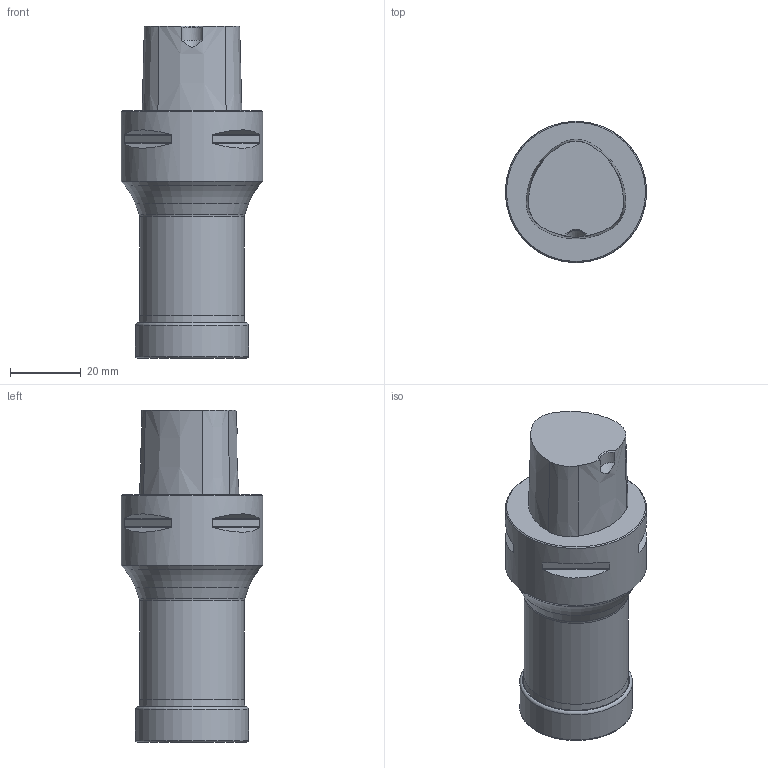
import cadquery as cq
import math

SHANK_TOP = 24.0
FLANGE_BOTTOM = -20.0
NECK_TOP = -30.0
FLARE_TOP = -58.0
NUT_TOP = -60.0
NUT_BOTTOM = -70.0

LOBE_REACH = 14.9
LOBE_CENTER = 6.0
SHANK_TAPER = 1 / 40
LOBE_COUNT = 3

NOTCH_RADIUS = 3.3
NOTCH_Y = -14.15
NOTCH_CHAMFER = 0.3
NOTCH_DEPTH = 4.0
NOTCH_POINT_ANGLE = 45.0

FLANGE_RADIUS = 20.0
FLANGE_CHAMFER = 0.3
GROOVE_Z = -8.0
GROOVE_FLOOR_DISTANCE = 17.6
GROOVE_FLOOR_WIDTH = 2.4
GROOVE_SIDE_ANGLE = 30.0
GROOVE_ROUND = 0.35
GROOVE_OVERCUT = 1.0
GROOVE_COUNT = 4

NECK_RADIUS = 14.8
UPPER_CONE_ANGLE = 40.0
LOWER_CONE_ANGLE = 20.0
CONE_ROUND = 17.0
NECK_ROUND = 2.0
FLARE_RADIUS = 14.9

NUT_RADIUS = 16.0
NUT_TOP_ROUND = 0.8
NUT_BOTTOM_ROUND = 0.5


def polar(radius, degrees, center=(0.0, 0.0)):
    angle = math.radians(degrees)
    return (center[0] + radius * math.cos(angle), center[1] + radius * math.sin(angle))


def shank():
    """Tapered three-lobed polygon, each lobe arc followed by a flank arc."""
    lobe_radius = LOBE_REACH - LOBE_CENTER
    flank_radius = lobe_radius + LOBE_CENTER * math.sqrt(3)
    step = 360 / LOBE_COUNT
    half_span = step / 4
    start = polar(lobe_radius, 90 - half_span, (0, LOBE_CENTER))
    outline = cq.Workplane("XY").moveTo(*start)
    for index in range(LOBE_COUNT):
        lobe_angle = 90 + index * step
        flank_angle = lobe_angle + step / 2
        lobe_center = polar(LOBE_CENTER, lobe_angle)
        flank_center = polar(LOBE_CENTER, flank_angle + 180)
        outline = outline.threePointArc(
            polar(lobe_radius, lobe_angle, lobe_center),
            polar(lobe_radius, lobe_angle + half_span, lobe_center),
        )
        outline = outline.threePointArc(
            polar(flank_radius, flank_angle, flank_center),
            polar(flank_radius, flank_angle + half_span, flank_center),
        )
    taper_angle = math.degrees(math.atan(SHANK_TAPER))
    return outline.close().extrude(SHANK_TOP, taper=taper_angle)


def notch_cutter():
    """Drill with a conical point, entering from the top of the shank with a chamfered rim."""
    wall_bottom = SHANK_TOP - NOTCH_DEPTH
    tip = wall_bottom - NOTCH_RADIUS / math.tan(math.radians(NOTCH_POINT_ANGLE))
    return (
        cq.Workplane("XZ")
        .polyline([
            (0, SHANK_TOP),
            (NOTCH_RADIUS + NOTCH_CHAMFER, SHANK_TOP),
            (NOTCH_RADIUS, SHANK_TOP - NOTCH_CHAMFER),
            (NOTCH_RADIUS, wall_bottom),
            (0, tip),
        ])
        .close()
        .revolve(360, (0, 0), (0, 1))
        .translate((0, NOTCH_Y, 0))
    )


def turned_body():
    """Flange, conical transition and neck, revolved about Z."""
    upper = math.radians(UPPER_CONE_ANGLE)
    lower = math.radians(LOWER_CONE_ANGLE)

    lower_end = (
        NECK_RADIUS + NECK_ROUND * (1 - math.cos(lower)),
        NECK_TOP + NECK_ROUND * math.sin(lower),
    )
    neck_round_middle = (
        NECK_RADIUS + NECK_ROUND * (1 - math.cos(lower / 2)),
        NECK_TOP + NECK_ROUND * math.sin(lower / 2),
    )

    rise = FLANGE_BOTTOM - lower_end[1]
    run = FLANGE_RADIUS - lower_end[0]
    corner_drop = (run - rise * math.tan(lower)) / (math.tan(upper) - math.tan(lower))
    corner = (FLANGE_RADIUS - corner_drop * math.tan(upper), FLANGE_BOTTOM - corner_drop)
    tangent = CONE_ROUND * math.tan((upper - lower) / 2)
    upper_end = (corner[0] + tangent * math.sin(upper), corner[1] + tangent * math.cos(upper))
    lower_start = (corner[0] - tangent * math.sin(lower), corner[1] - tangent * math.cos(lower))
    round_center = (
        upper_end[0] + CONE_ROUND * math.cos(upper),
        upper_end[1] - CONE_ROUND * math.sin(upper),
    )
    round_middle = polar(CONE_ROUND, 180 - (UPPER_CONE_ANGLE + LOWER_CONE_ANGLE) / 2, round_center)

    return (
        cq.Workplane("XZ")
        .moveTo(0, 0)
        .lineTo(FLANGE_RADIUS - FLANGE_CHAMFER, 0)
        .lineTo(FLANGE_RADIUS, -FLANGE_CHAMFER)
        .lineTo(FLANGE_RADIUS, FLANGE_BOTTOM)
        .lineTo(*upper_end)
        .threePointArc(round_middle, lower_start)
        .lineTo(*lower_end)
        .threePointArc(neck_round_middle, (NECK_RADIUS, NECK_TOP))
        .lineTo(NECK_RADIUS, FLARE_TOP)
        .lineTo(FLARE_RADIUS, NUT_TOP)
        .lineTo(0, NUT_TOP)
        .close()
        .revolve(360, (0, 0), (0, 1))
    )


def groove_cutter(angle):
    """Straight groove across the flange with a flat floor, sloping sides and rounded corners."""
    outer = FLANGE_RADIUS + GROOVE_OVERCUT
    half_floor = GROOVE_FLOOR_WIDTH / 2
    half_mouth = half_floor + (outer - GROOVE_FLOOR_DISTANCE) * math.tan(math.radians(GROOVE_SIDE_ANGLE))
    return (
        cq.Workplane("XZ")
        .polyline([
            (GROOVE_FLOOR_DISTANCE, GROOVE_Z - half_floor),
            (outer, GROOVE_Z - half_mouth),
            (outer, GROOVE_Z + half_mouth),
            (GROOVE_FLOOR_DISTANCE, GROOVE_Z + half_floor),
        ])
        .close()
        .extrude(FLANGE_RADIUS, both=True)
        .faces("<X")
        .edges("|Y")
        .fillet(GROOVE_ROUND)
        .rotate((0, 0, 0), (0, 0, 1), angle)
    )


def make_holder():
    holder = turned_body().union(shank()).cut(notch_cutter())
    for index in range(GROOVE_COUNT):
        holder = holder.cut(groove_cutter(45 + index * 360 / GROOVE_COUNT))
    return holder


def make_nut():
    """Round clamping nut seated against the end of the neck."""
    nut = cq.Workplane("XY").workplane(offset=NUT_BOTTOM).circle(NUT_RADIUS).extrude(NUT_TOP - NUT_BOTTOM)
    return nut.faces(">Z").edges().fillet(NUT_TOP_ROUND).faces("<Z").edges().fillet(NUT_BOTTOM_ROUND)


holder = make_holder()
nut = make_nut()
result = cq.Compound.makeCompound([holder.val(), nut.val()])